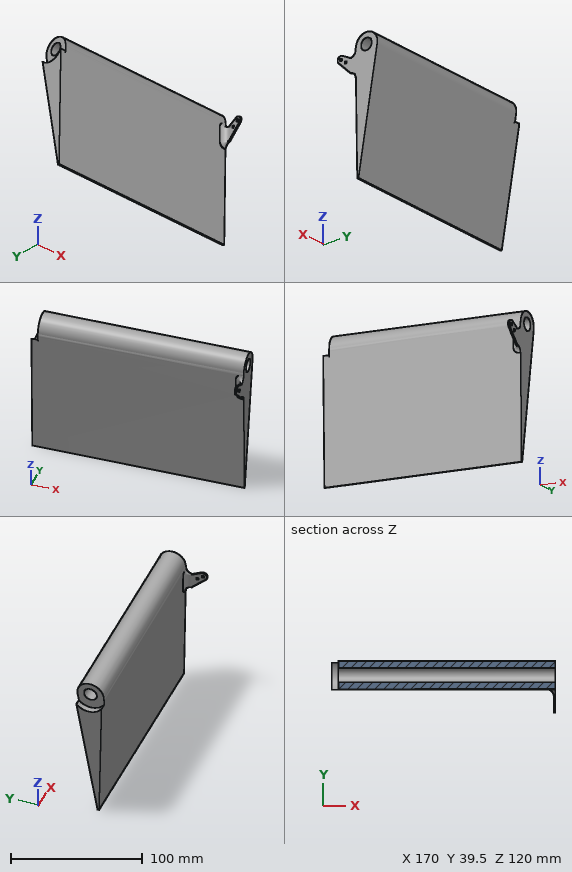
import cadquery as cq
import math

span = 170.0
nose_radius = 10.7
nose_center_y = 0.2
nose_center_z = -0.5
hinge_hole_radius = 5.3
trailing_z = -109.8
trailing_front_y = -9.2
trailing_thickness = 1.4
shoulder_height = 2.5
shoulder_bulge = 0.2
shoulder_angle = 7.5
near_front_y = -11.2
near_shoulder_z = -4.0
far_front_y = -10.9
far_shoulder_z = -2.5

relief_length = 5.1
relief_radius = 13.1

horn_thickness = 1.4
horn_top_z = -7.0
horn_bottom_z = -19.7
horn_root_y = -10.2
horn_neck_y = -15.8
horn_tip = (-25.2, -5.8)
horn_inner_hole = (-20.5, -9.4)
horn_tip_radius = 3.4
horn_hole_radius = 1.0
horn_root_fillet = far_front_y - horn_neck_y


def tangent_point(point, center, radius, side):
    """Point where a line from point touches a circle; side is +1 or -1."""
    dy = point[0] - center[0]
    dz = point[1] - center[1]
    angle = math.atan2(dz, dy) + side * math.acos(radius / math.hypot(dy, dz))
    return (center[0] + radius * math.cos(angle), center[1] + radius * math.sin(angle))


def flap_profile(x, front_y, shoulder_z):
    """Closed airfoil section, given the top of its front face."""
    center = (nose_center_y, nose_center_z)
    back_y = trailing_front_y + trailing_thickness
    back_tangent = tangent_point((back_y, trailing_z), center, nose_radius, 1)
    shoulder_lean = shoulder_height * math.tan(math.radians(shoulder_angle))
    shoulder_top = (front_y + shoulder_lean, shoulder_z + shoulder_height)
    shoulder_middle = (front_y + shoulder_lean / 2 - shoulder_bulge, shoulder_z + shoulder_height / 2)
    return (
        cq.Workplane("YZ", origin=(x, 0, 0))
        .moveTo(back_y, trailing_z)
        .lineTo(*back_tangent)
        .threePointArc((nose_center_y, nose_center_z + nose_radius), shoulder_top)
        .threePointArc(shoulder_middle, (front_y, shoulder_z))
        .lineTo(trailing_front_y, trailing_z)
        .close()
        .val()
    )


def make_flap():
    """Wedge with a rounded nose, tapering slightly along the span."""
    near_section = flap_profile(0, near_front_y, near_shoulder_z)
    far_section = flap_profile(span, far_front_y, far_shoulder_z)
    return cq.Workplane(cq.Solid.makeLoft([near_section, far_section], True))


def make_horn():
    """Thin lever flush with the far end of the flap."""
    top_neck = (horn_neck_y, horn_top_z)
    bottom_neck = (horn_neck_y, horn_bottom_z)
    top_tangent = tangent_point(top_neck, horn_tip, horn_tip_radius, 1)
    bottom_tangent = tangent_point(bottom_neck, horn_tip, horn_tip_radius, -1)
    tip_end = (horn_tip[0] - horn_tip_radius, horn_tip[1])
    return (
        cq.Workplane("YZ", origin=(span - horn_thickness, 0, 0))
        .moveTo(horn_root_y, horn_top_z)
        .lineTo(*top_neck)
        .lineTo(*top_tangent)
        .threePointArc(tip_end, bottom_tangent)
        .lineTo(*bottom_neck)
        .lineTo(horn_root_y, horn_bottom_z)
        .close()
        .extrude(horn_thickness)
    )


def cove_profile(work, length_sign):
    """Concave fillet section; first axis leads away from the horn, second along Y."""
    middle_inset = horn_root_fillet * (1 - math.sqrt(0.5))
    reach = length_sign * horn_root_fillet
    return (
        work.moveTo(0, horn_root_y)
        .lineTo(0, horn_neck_y)
        .threePointArc(
            (length_sign * middle_inset, far_front_y - middle_inset),
            (reach, far_front_y),
        )
        .lineTo(reach, horn_root_y)
        .close()
    )


def make_horn_cove():
    """Fillet around the horn root: straight along each side, swept round the corners."""
    side_x = span - horn_thickness
    height = horn_top_z - horn_bottom_z
    side_plane = cq.Workplane("XY", origin=(side_x, 0, horn_bottom_z))
    cove = cove_profile(side_plane, -1).extrude(height)
    for end_z, direction in ((horn_top_z, 1), (horn_bottom_z, -1)):
        end_plane = cq.Plane(origin=(side_x, 0, end_z), xDir=(0, 0, 1), normal=(-1, 0, 0))
        cove = cove.union(cove_profile(cq.Workplane(end_plane), direction).extrude(-horn_thickness))
        corner_plane = cq.Workplane("XY", origin=(side_x, 0, end_z))
        sweep = cove_profile(corner_plane, -1).revolve(90, (0, 0), (0, direction))
        cove = cove.union(sweep)
    return cove


flap = make_flap()
relief = cq.Workplane("YZ").circle(relief_radius).extrude(relief_length)
hinge_hole = cq.Workplane("YZ").circle(hinge_hole_radius).extrude(span)
horn_holes = (
    cq.Workplane("YZ", origin=(span - horn_thickness, 0, 0))
    .pushPoints([horn_tip, horn_inner_hole])
    .circle(horn_hole_radius)
    .extrude(horn_thickness)
)

body = flap.union(make_horn()).union(make_horn_cove())
result = body.cut(relief).cut(hinge_hole).cut(horn_holes)